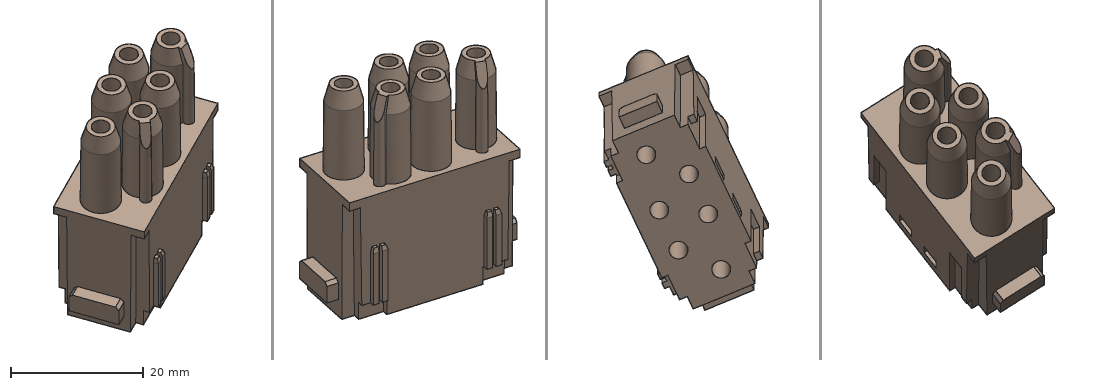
import cadquery as cq


TOTAL_HEIGHT = 37.3
HOUSING_X = 14.77
HOUSING_Y = 30.0
HOUSING_HEIGHT = 22.0
FLANGE_THICKNESS = 1.5
FLANGE_BOTTOM = HOUSING_HEIGHT - FLANGE_THICKNESS

NOTCH_X_TOP = 2.13
NOTCH_X_BOTTOM = 2.28
NOTCH_Y_TOP = 1.9
NOTCH_Y_BOTTOM = 2.2

LEDGE_HEIGHT = 3.02
LEDGE_DEPTH = 1.0
KEYWAY_CENTER_Y = 10.0
KEYWAY_WIDTH = 3.15
KEYWAY_HEIGHT = 12.98
KEYWAY_DEPTH = 1.0
KEYWAY_INNER_Y = KEYWAY_CENTER_Y - KEYWAY_WIDTH / 2

WINDOW_WIDTH = 3.15
WINDOW_HEIGHT = 2.05
WINDOW_BOTTOM = 1.85
WINDOW_DEPTH = 1.0
WINDOW_CENTER_Y = 3.25

TAB_LENGTH = 2.0
TAB_HEIGHT = 3.5
TAB_CHAMFER = 0.55
FRONT_TAB_WIDTH = 8.15
BACK_TAB_WIDTH = 6.25

KEY_RIB_DEPTH = 0.82
KEY_RIB_WIDTH = 1.0
KEY_RIB_SPACING = 1.6
KEY_RIB_TOP = KEYWAY_HEIGHT
KEY_RIB_CHAMFER_DROP = 0.82
KEY_RIB_CHAMFER_INSET = 0.25

PIN_BASE_RADIUS = 3.15
PIN_SHOULDER_RADIUS = 3.02
PIN_TIP_RADIUS = 2.2
PIN_SHOULDER_Z = 34.3
BORE_RADIUS = 1.4
HALF_PIN_CENTERS = [(1.38, 10.8), (-3.25, 5.35), (3.25, 1.8)]
PIN_CENTERS = HALF_PIN_CENTERS + [(-x, -y) for x, y in HALF_PIN_CENTERS]

FINS = [(PIN_CENTERS[0], -15.0), (PIN_CENTERS[4], -60.0)]
FIN_WIDTH = 1.85
FIN_REACH = 4.3
FIN_SLOPE_INNER = 2.57
FIN_SLOPE_BOTTOM = 33.2
FIN_HEIGHT = TOTAL_HEIGHT - HOUSING_HEIGHT
FIN_DRAFT_DEGREES = 0.4


def box(x_range, y_range, z_range):
    """Axis-aligned box between the given limits."""
    sizes = [high - low for low, high in (x_range, y_range, z_range)]
    corner = (x_range[0], y_range[0], z_range[0])
    return cq.Workplane("XY").box(*sizes, centered=False).translate(corner)


def drafted_block(bottom_size, top_size):
    """Centred block from the bottom face up to the flange."""
    block = cq.Workplane("XY").rect(*bottom_size)
    return block.workplane(offset=FLANGE_BOTTOM).rect(*top_size).loft(ruled=True)


def make_housing():
    """Flange on a cross-shaped body, which leaves a notch at each corner."""
    flange = box(
        (-HOUSING_X / 2, HOUSING_X / 2),
        (-HOUSING_Y / 2, HOUSING_Y / 2),
        (FLANGE_BOTTOM, HOUSING_HEIGHT),
    )
    lengthwise = drafted_block(
        (HOUSING_X - 2 * NOTCH_X_BOTTOM, HOUSING_Y),
        (HOUSING_X - 2 * NOTCH_X_TOP, HOUSING_Y),
    )
    crosswise = drafted_block(
        (HOUSING_X, HOUSING_Y - 2 * NOTCH_Y_BOTTOM),
        (HOUSING_X, HOUSING_Y - 2 * NOTCH_Y_TOP),
    )
    return flange.union(lengthwise).union(crosswise)


def side_recess(side, depth, y_range, z_range):
    """Cutter for a recess in the -X (side = -1) or +X (side = 1) face."""
    x_limits = sorted((side * HOUSING_X / 2, side * (HOUSING_X / 2 - depth)))
    return box(x_limits, y_range, z_range)


def cut_recesses(body):
    """End ledges on both long sides; keyways and windows on -X."""
    for end in (-1, 1):
        ledge_y = sorted((end * KEYWAY_INNER_Y, end * HOUSING_Y / 2))
        for side in (-1, 1):
            body = body.cut(side_recess(side, LEDGE_DEPTH, ledge_y, (0, LEDGE_HEIGHT)))

        keyway_center = end * KEYWAY_CENTER_Y
        keyway_y = (keyway_center - KEYWAY_WIDTH / 2, keyway_center + KEYWAY_WIDTH / 2)
        body = body.cut(side_recess(-1, KEYWAY_DEPTH, keyway_y, (0, KEYWAY_HEIGHT)))

        window_center = end * WINDOW_CENTER_Y
        window_y = (window_center - WINDOW_WIDTH / 2, window_center + WINDOW_WIDTH / 2)
        window_z = (WINDOW_BOTTOM, WINDOW_BOTTOM + WINDOW_HEIGHT)
        body = body.cut(side_recess(-1, WINDOW_DEPTH, window_y, window_z))
    return body


def latch_tab(end, width):
    """Tab on the -Y (end = -1) or +Y (end = 1) side, with bevelled top corners."""
    tab_y = sorted((end * HOUSING_Y / 2, end * (HOUSING_Y / 2 + TAB_LENGTH)))
    tab = box((-width / 2, width / 2), tab_y, (LEDGE_HEIGHT, LEDGE_HEIGHT + TAB_HEIGHT))
    return tab.edges("|Y and >Z").chamfer(TAB_CHAMFER)


def key_rib(end, offset):
    """Upright rib on +X, bevelled on top at its outer face and the side away from its twin."""
    center_y = end * KEYWAY_CENTER_Y + offset * KEY_RIB_SPACING / 2
    face_x = HOUSING_X / 2
    outer_x = face_x + KEY_RIB_DEPTH
    rib = box(
        (face_x, outer_x),
        (center_y - KEY_RIB_WIDTH / 2, center_y + KEY_RIB_WIDTH / 2),
        (LEDGE_HEIGHT, KEY_RIB_TOP),
    )
    bevel_bottom = KEY_RIB_TOP - KEY_RIB_CHAMFER_DROP
    face_bevel = (
        cq.Workplane("XZ", origin=(0, center_y, 0))
        .moveTo(outer_x, bevel_bottom)
        .lineTo(outer_x, KEY_RIB_TOP)
        .lineTo(outer_x - KEY_RIB_CHAMFER_INSET, KEY_RIB_TOP)
        .close()
        .extrude(KEY_RIB_WIDTH, both=True)
    )
    side_y = center_y + offset * KEY_RIB_WIDTH / 2
    side_bevel = (
        cq.Workplane("YZ", origin=(face_x, 0, 0))
        .moveTo(side_y, bevel_bottom)
        .lineTo(side_y, KEY_RIB_TOP)
        .lineTo(side_y - offset * KEY_RIB_CHAMFER_INSET, KEY_RIB_TOP)
        .close()
        .extrude(KEY_RIB_DEPTH)
    )
    return rib.cut(face_bevel).cut(side_bevel)


def make_pin(center):
    """Slightly tapered pin with a conical tip."""
    profile = (
        cq.Workplane("XZ")
        .moveTo(0, HOUSING_HEIGHT)
        .lineTo(PIN_BASE_RADIUS, HOUSING_HEIGHT)
        .lineTo(PIN_SHOULDER_RADIUS, PIN_SHOULDER_Z)
        .lineTo(PIN_TIP_RADIUS, TOTAL_HEIGHT)
        .lineTo(0, TOTAL_HEIGHT)
        .close()
    )
    return profile.revolve(360, (0, 0, 0), (0, 1, 0)).translate((*center, 0))


def make_fin(center, angle):
    """Drafted, round-ended fin along a pin, with a sloping top beyond the pin's tip."""
    fin = (
        cq.Workplane("XY", origin=(FIN_REACH / 2, 0, HOUSING_HEIGHT))
        .slot2D(FIN_REACH, FIN_WIDTH)
        .extrude(FIN_HEIGHT, taper=FIN_DRAFT_DEGREES)
    )
    slope = (
        cq.Workplane("XZ")
        .moveTo(FIN_SLOPE_INNER, TOTAL_HEIGHT)
        .lineTo(FIN_REACH, TOTAL_HEIGHT)
        .lineTo(FIN_REACH, FIN_SLOPE_BOTTOM)
        .close()
        .extrude(FIN_WIDTH, both=True)
    )
    return fin.cut(slope).rotate((0, 0, 0), (0, 0, 1), angle).translate((*center, 0))


body = cut_recesses(make_housing())
body = body.union(latch_tab(-1, FRONT_TAB_WIDTH)).union(latch_tab(1, BACK_TAB_WIDTH))
for end in (-1, 1):
    for offset in (-1, 1):
        body = body.union(key_rib(end, offset))
for pin_center in PIN_CENTERS:
    body = body.union(make_pin(pin_center))
for pin_center, fin_angle in FINS:
    body = body.union(make_fin(pin_center, fin_angle))

bores = cq.Workplane("XY").pushPoints(PIN_CENTERS).circle(BORE_RADIUS).extrude(TOTAL_HEIGHT)
result = body.cut(bores)